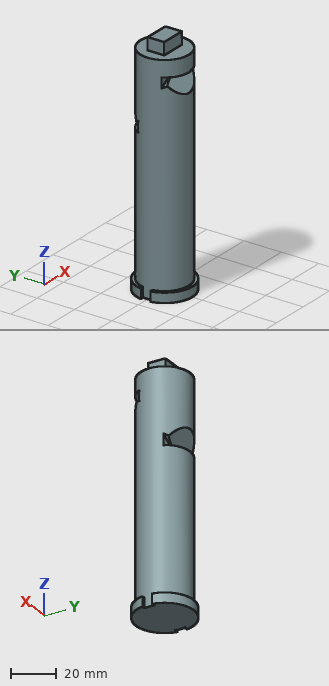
import cadquery as cq

total_height = 123.3
body_diameter = 25.9
flange_diameter = 29.5
flange_height = 5.0
key_slot_width = 5.0

tenon_length = 13.5
tenon_width = 8.9
tenon_height = 6.4

notch_depth = 6.7
crown_radius = 18.5
crown_rise = 0.2
front_shelf_z = 108.4
front_notch_height = 10.0
front_wall_gap = 1.6
rear_shelf_z = 78.3
rear_notch_height = 11.0
rear_wall_gap = 2.0

body_radius = body_diameter / 2
flange_radius = flange_diameter / 2
body_top = total_height - tenon_height


def make_shaft():
    """Flanged round body with the tenon on its top face."""
    body = cq.Workplane("XY").circle(body_radius).extrude(body_top)
    flange = cq.Workplane("XY").circle(flange_radius).extrude(flange_height)
    slot = cq.Workplane("XY").rect(2 * flange_radius, key_slot_width).extrude(flange_height)
    tenon = (
        cq.Workplane("XY")
        .workplane(offset=body_top)
        .rect(tenon_length, tenon_width)
        .extrude(tenon_height)
    )
    return flange.cut(slot).union(body).union(tenon)


def make_notch(height, wall_gap):
    """Notch cutter on the -Y side, hanging below a shelf at Z = 0."""
    wall_y = notch_depth - body_radius
    pocket = cq.Workplane("XY").box(
        body_diameter, notch_depth, height, centered=(True, False, False)
    ).translate((0, -body_radius, -height))
    ramp = (
        cq.Workplane("YZ")
        .polyline([(-body_radius, -height), (wall_y, -height), (wall_y, -wall_gap)])
        .close()
        .extrude(body_radius, both=True)
    )
    crown = (
        cq.Workplane("XZ")
        .center(0, crown_rise - wall_gap - crown_radius)
        .circle(crown_radius)
        .extrude(body_radius)
    )
    return pocket.cut(ramp.intersect(crown))


front_notch = make_notch(front_notch_height, front_wall_gap).translate((0, 0, front_shelf_z))
rear_notch = (
    make_notch(rear_notch_height, rear_wall_gap)
    .rotate((0, 0, 0), (1, 0, 0), 180)
    .translate((0, 0, rear_shelf_z))
)

result = make_shaft().cut(front_notch).cut(rear_notch)